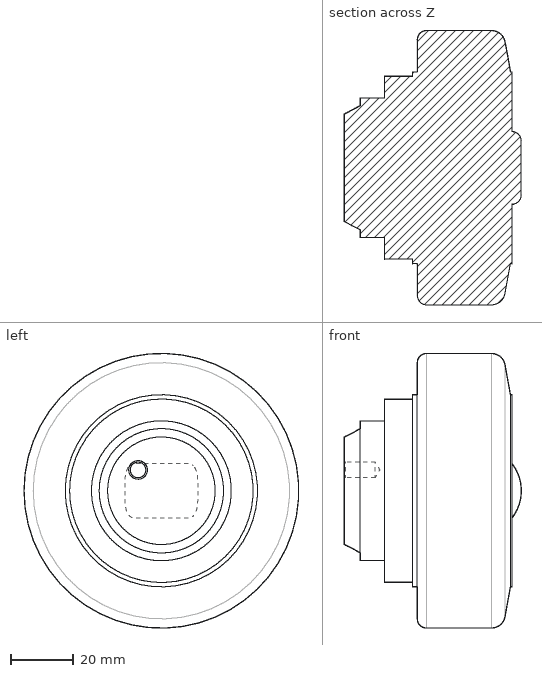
import math

import cadquery as cq


nose_end = 5.1
nose_radius = 20.0
nose_face_radius = 17.3
spigot_end = 12.9
spigot_radius = 22.5
shoulder_end = 21.9
shoulder_radius = 29.5
collar_radius = 30.9

wheel_start = 23.5
wheel_radius = 44.2
back_fillet = 3.0
crown_fillet = 4.5
crown_radius = 200.0
hub_radius = 30.9
crown_end = 53.5
hub_end = 54.0

overall_length = 57.0
roller_radius = 14.25
roller_length = 23.5
roller_fillet = 3.0

hole_y = 7.5
hole_z = 6.7
hole_radius = 2.5
hole_depth = 10.0
hole_chamfer = 0.5
drill_point_angle = 118.0


def revolve_about_x(profile):
    """Turn a closed XY profile around the X axis."""
    return profile.close().revolve(360, (0, 0, 0), (1, 0, 0))


def make_stub():
    profile = (
        cq.Workplane("XY")
        .moveTo(0, 0)
        .lineTo(0, nose_face_radius)
        .lineTo(nose_end, nose_radius)
        .lineTo(nose_end, spigot_radius)
        .lineTo(spigot_end, spigot_radius)
        .lineTo(spigot_end, shoulder_radius)
        .lineTo(shoulder_end, shoulder_radius)
        .lineTo(shoulder_end, collar_radius)
        .lineTo(wheel_start, collar_radius)
        .lineTo(wheel_start, 0)
    )
    return revolve_about_x(profile)


def make_wheel():
    crown_centre = crown_end - math.sqrt(crown_radius**2 - hub_radius**2)

    def crown_point(radius):
        return (crown_centre + math.sqrt(crown_radius**2 - radius**2), radius)

    blend_radius = wheel_radius - crown_fillet
    blend_span = crown_radius - crown_fillet
    blend_x = crown_centre + math.sqrt(blend_span**2 - blend_radius**2)
    crown_rim = blend_radius * crown_radius / blend_span

    profile = (
        cq.Workplane("XY")
        .moveTo(wheel_start, 0)
        .lineTo(wheel_start, wheel_radius - back_fillet)
        .radiusArc((wheel_start + back_fillet, wheel_radius), back_fillet)
        .lineTo(blend_x, wheel_radius)
        .radiusArc(crown_point(crown_rim), crown_fillet)
        .radiusArc(crown_point(hub_radius), crown_radius)
        .lineTo(hub_end, hub_radius)
        .lineTo(hub_end, 0)
    )
    return revolve_about_x(profile)


def make_roller():
    return (
        cq.Workplane("XZ", origin=(overall_length - roller_radius, 0, 0))
        .circle(roller_radius)
        .extrude(roller_length / 2, both=True)
        .edges("%CIRCLE")
        .fillet(roller_fillet)
    )


def make_hole():
    tip_depth = hole_radius / math.tan(math.radians(drill_point_angle / 2))
    profile = (
        cq.Workplane("XY")
        .moveTo(0, 0)
        .lineTo(0, hole_radius + hole_chamfer)
        .lineTo(hole_chamfer, hole_radius)
        .lineTo(hole_depth, hole_radius)
        .lineTo(hole_depth + tip_depth, 0)
    )
    return revolve_about_x(profile).translate((0, hole_y, hole_z))


result = make_stub().union(make_wheel()).union(make_roller()).cut(make_hole())